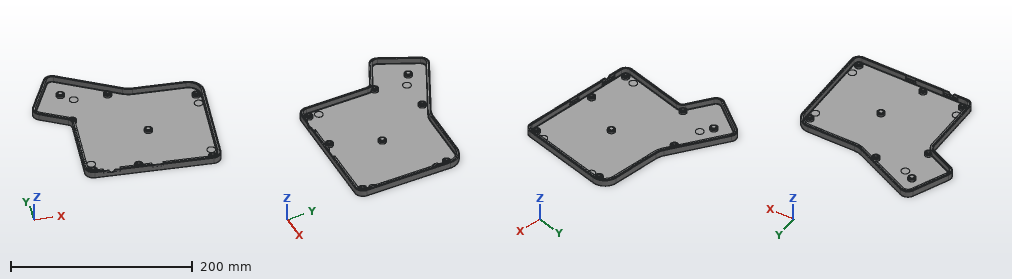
import cadquery as cq
import math

overall_width = 192
overall_depth = 166.3
total_height = 8.8
main_width = 152.7
main_depth = 130.2

arm_tilt = math.radians(25)
arm_width = 66.7
corner_radius = 9.8
rear_corner_radius = 17.7
rear_bend_radius = 23
left_bend_radius = 6.0

floor_thickness = 1.5
floor_chamfer = 0.5
wall_thickness = 3.3
ledge_width = 1.3
ledge_height = 7.9

boss_diameter = 9.2
boss_chamfer = 0.4
boss_height = 2.9
spigot_diameter = 6.1
spigot_height = 1.2
screw_hole_diameter = 3.5
front_boss_y = 9.5
screw_boss_points = [
    (9.6, front_boss_y),
    (60.5, front_boss_y),
    (143.3, front_boss_y),
    (143.7, 112.4),
    (47.6, 130.2),
    (1.7, 94.3),
]
support_boss_points = [(81.3, 64.4), (-3.8, 138.5)]

foot_diameter = 9.6
foot_recess_depth = 1.0
left_foot_x = 9.6
right_foot_x = 144
front_foot_y = 21.9
foot_points = [
    (left_foot_x, front_foot_y),
    (right_foot_x, front_foot_y),
    (right_foot_x, 100.3),
    (left_foot_x, 130.2),
]

bay_width = 18.8
bay_center = 29.0
bay_slope = 1.0
gap_width = 12.7
gap_center = 80.3
gap_slope = 0.5
notch_diameter = 6.3

along = cq.Vector(math.cos(arm_tilt), -math.sin(arm_tilt))
across = cq.Vector(math.sin(arm_tilt), math.cos(arm_tilt))
left_arc_x = main_width - overall_width + corner_radius
rear_arc_y = overall_depth - corner_radius
left_arc_y = rear_arc_y - (arm_width - 2 * corner_radius) * across.y
arm_left = cq.Vector(left_arc_x, left_arc_y) - (along + across) * corner_radius
arm_rear = arm_left + across * arm_width
left_bend = cq.Vector(0, arm_left.y + arm_left.x * math.tan(arm_tilt))
rear_bend = cq.Vector(arm_rear.x + (arm_rear.y - main_depth) / math.tan(arm_tilt), main_depth)

rounded_corners = [
    (cq.Vector(0, 0), corner_radius),
    (cq.Vector(main_width, 0), corner_radius),
    (cq.Vector(main_width, main_depth), rear_corner_radius),
    (rear_bend, rear_bend_radius),
    (arm_rear, corner_radius),
    (arm_left, corner_radius),
    (left_bend, left_bend_radius),
]


def rounded_outline():
    """Closed outer outline of the part with all corners rounded."""
    corners = [corner for corner, radius in rounded_corners]
    outline = cq.Wire.makePolygon(corners, close=True)
    for corner, radius in rounded_corners:
        nearest = min(outline.Vertices(), key=lambda vertex: (vertex.Center() - corner).Length)
        outline = outline.fillet2D(radius, [nearest])
    return outline


outline = rounded_outline()


def outline_prism(inset, bottom, top):
    """Solid between two heights whose sides lie a given inset inside the outline."""
    section = cq.Workplane("XY").add(outline).toPending()
    if inset > 0:
        section = section.offset2D(-inset)
    return section.extrude(top - bottom).translate((0, 0, bottom))


def tray():
    """Floor and surrounding wall with the outer ledge and a chamfer around the floor."""
    base = outline_prism(0, 0, ledge_height)
    rim = outline_prism(ledge_width, 0, total_height)
    cavity = outline_prism(wall_thickness, floor_thickness, total_height)
    cavity = cavity.faces("<Z").edges().chamfer(floor_chamfer)
    return base.union(rim).cut(cavity)


def wall_bay(center, width, slope):
    """Cutter that thins the front wall to the ledge width, widening down a short slope."""
    inner_y = wall_thickness + floor_chamfer
    slope_top = ledge_height - notch_diameter / 2
    bottom = floor_thickness + floor_chamfer
    profile = [
        (ledge_width, total_height),
        (ledge_width, slope_top),
        (ledge_width + slope, slope_top - slope),
        (ledge_width + slope, bottom),
        (inner_y, bottom),
        (inner_y, total_height),
    ]
    bay = cq.Workplane("YZ").polyline(profile).close().extrude(width)
    return bay.translate((center - width / 2, 0, 0))


def cylinders(points, diameter, bottom, height):
    discs = cq.Workplane("XY").workplane(offset=bottom).pushPoints(points)
    return discs.circle(diameter / 2).extrude(height)


def bosses(points):
    """Stepped bosses standing on the floor, each step with a chamfered top edge."""
    shoulder = cylinders(points, boss_diameter, floor_thickness, boss_height)
    shoulder = shoulder.faces(">Z").edges().chamfer(boss_chamfer)
    spigot = cylinders(points, spigot_diameter, floor_thickness, boss_height + spigot_height)
    spigot = spigot.faces(">Z").edges().chamfer(boss_chamfer)
    return shoulder.union(spigot)


def wall_notch():
    """Round cutter across the front wall, half of it below the ledge."""
    section = cq.Workplane("XZ").center(bay_center, ledge_height).circle(notch_diameter / 2)
    return section.extrude(-wall_thickness)


all_bosses = bosses(screw_boss_points + support_boss_points)
rim_limit = outline_prism(ledge_width, 0, total_height)

result = tray()
result = result.cut(wall_bay(bay_center, bay_width, bay_slope))
result = result.cut(wall_bay(gap_center, gap_width, gap_slope))
result = result.cut(wall_notch())
result = result.union(all_bosses.intersect(rim_limit))
result = result.cut(cylinders(screw_boss_points, screw_hole_diameter, 0, total_height))
result = result.cut(cylinders(foot_points, foot_diameter, 0, foot_recess_depth))